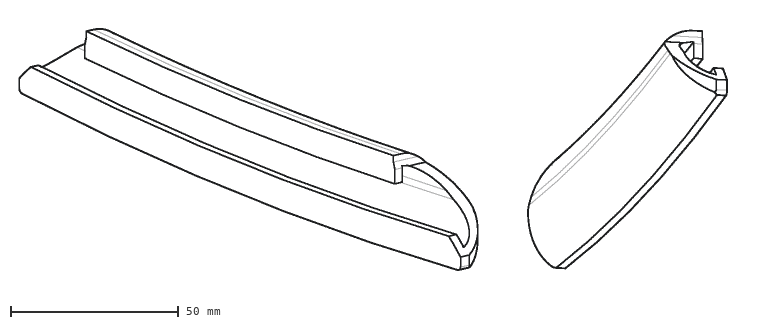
import cadquery as cq
import math

LENGTH = 217.5
DEPTH = 14.1
SECTION_HEIGHT = 29.5
BOW_RADIUS = 1523.1

LIP_THICKNESS = 2.8
LOWER_LIP_TOP = 9.8
UPPER_LIP_BOTTOM = 20.9
OUTER_FLAT_START = 16.3
OUTER_FLAT_END = 18.3
BELLY_POINT = (9.5, 5.2)
CAVITY_DEPTH = 9.5
CAVITY_FLOOR = 6.5
CAVITY_TOP = 26.0
CAVITY_FLAT_START = 17.5
CAVITY_FLAT_END = 19.5

UPPER_LIP_LENGTH = 151.5
STEP_BOTTOM = 27.5
END_SHOULDER = 8.3
END_BEND = (96.5, 18.0)
END_LEAN = 0.7
CORNER_RADIUS = 1.3
NOSE_DEPTH = 3.3
NOSE_POINT = (103.5, 10.5)
NOSE_LENGTH = 19.5
MARGIN = 10.9

HALF_LENGTH = LENGTH / 2
HALF_LIP = UPPER_LIP_LENGTH / 2


def bowed(profile):
    """Sweep a YZ profile along the bow, past both ends of the part."""
    half_angle = math.degrees(math.asin((HALF_LENGTH + MARGIN) / BOW_RADIUS))
    swept = profile.revolve(2 * half_angle, (0, BOW_RADIUS, 0), (1, BOW_RADIUS, 0))
    return swept.rotate((0, 0, BOW_RADIUS), (0, 1, BOW_RADIUS), -half_angle)


def outer_rail():
    round_radius = SECTION_HEIGHT - OUTER_FLAT_END
    profile = (
        cq.Workplane("YZ")
        .lineTo(LIP_THICKNESS, 0)
        .threePointArc(BELLY_POINT, (DEPTH, OUTER_FLAT_START))
        .lineTo(DEPTH, OUTER_FLAT_END)
        .radiusArc((DEPTH - round_radius, SECTION_HEIGHT), -round_radius)
        .lineTo(0, SECTION_HEIGHT)
        .close()
    )
    return bowed(profile)


def cavity():
    rise = CAVITY_TOP - CAVITY_FLAT_END
    drop = CAVITY_FLAT_START - CAVITY_FLOOR
    width = CAVITY_DEPTH - LIP_THICKNESS
    diagonal = math.sqrt(0.5)
    profile = (
        cq.Workplane("YZ")
        .moveTo(LIP_THICKNESS, CAVITY_FLOOR)
        .threePointArc(
            (LIP_THICKNESS + width * diagonal, CAVITY_FLAT_START - drop * diagonal),
            (CAVITY_DEPTH, CAVITY_FLAT_START),
        )
        .lineTo(CAVITY_DEPTH, CAVITY_FLAT_END)
        .threePointArc(
            (LIP_THICKNESS + width * diagonal, CAVITY_FLAT_END + rise * diagonal),
            (LIP_THICKNESS, CAVITY_TOP),
        )
        .close()
    )
    return bowed(profile)


def lip_opening():
    profile = (
        cq.Workplane("YZ")
        .moveTo(-MARGIN, LOWER_LIP_TOP)
        .lineTo(LIP_THICKNESS, LOWER_LIP_TOP)
        .lineTo(LIP_THICKNESS, UPPER_LIP_BOTTOM)
        .lineTo(-MARGIN, UPPER_LIP_BOTTOM)
        .close()
    )
    return bowed(profile)


def elevation_envelope():
    """Block with the sloping, stepped ends of the XZ outline."""
    top = SECTION_HEIGHT + MARGIN
    end_bottom = BOW_RADIUS - math.sqrt(BOW_RADIUS**2 - HALF_LENGTH**2)
    bend_x, bend_z = END_BEND
    return (
        cq.Workplane("XZ", origin=(0, DEPTH + MARGIN, 0))
        .moveTo(-HALF_LENGTH + CORNER_RADIUS, -MARGIN)
        .lineTo(-HALF_LENGTH + CORNER_RADIUS, end_bottom)
        .radiusArc((-HALF_LENGTH, end_bottom + CORNER_RADIUS), CORNER_RADIUS)
        .lineTo(-HALF_LENGTH, END_SHOULDER)
        .threePointArc((-bend_x, bend_z), (-HALF_LIP - END_LEAN, STEP_BOTTOM))
        .lineTo(-HALF_LIP, SECTION_HEIGHT)
        .lineTo(-HALF_LIP, top)
        .lineTo(HALF_LIP, top)
        .lineTo(HALF_LIP, SECTION_HEIGHT)
        .lineTo(HALF_LIP + END_LEAN, STEP_BOTTOM)
        .threePointArc((bend_x, bend_z), (HALF_LENGTH, END_SHOULDER))
        .lineTo(HALF_LENGTH, end_bottom + CORNER_RADIUS)
        .radiusArc((HALF_LENGTH - CORNER_RADIUS, end_bottom), CORNER_RADIUS)
        .lineTo(HALF_LENGTH - CORNER_RADIUS, -MARGIN)
        .close()
        .extrude(DEPTH + 2 * MARGIN)
    )


def plan_envelope():
    """Block with the rounded noses of the XY outline."""
    nose_x, nose_y = NOSE_POINT
    shoulder = HALF_LENGTH - NOSE_LENGTH
    return (
        cq.Workplane("XY", origin=(0, 0, -MARGIN))
        .moveTo(-HALF_LENGTH, 0)
        .lineTo(-HALF_LENGTH, NOSE_DEPTH)
        .threePointArc((-nose_x, nose_y), (-shoulder, DEPTH))
        .lineTo(shoulder, DEPTH)
        .threePointArc((nose_x, nose_y), (HALF_LENGTH, NOSE_DEPTH))
        .lineTo(HALF_LENGTH, 0)
        .close()
        .extrude(SECTION_HEIGHT + 2 * MARGIN)
    )


def upper_lip_trim(side):
    """Block beyond one end of the shorter upper lip; side is -1 or 1."""
    length = HALF_LENGTH - HALF_LIP + MARGIN
    start = HALF_LIP + END_LEAN
    return (
        cq.Workplane("XY", origin=(side * (start + length / 2), 0, UPPER_LIP_BOTTOM))
        .box(length, 2 * LIP_THICKNESS, SECTION_HEIGHT, centered=(True, True, False))
    )


result = outer_rail().cut(cavity()).cut(lip_opening())
result = result.intersect(elevation_envelope()).intersect(plan_envelope())
for end_side in (-1, 1):
    result = result.cut(upper_lip_trim(end_side))